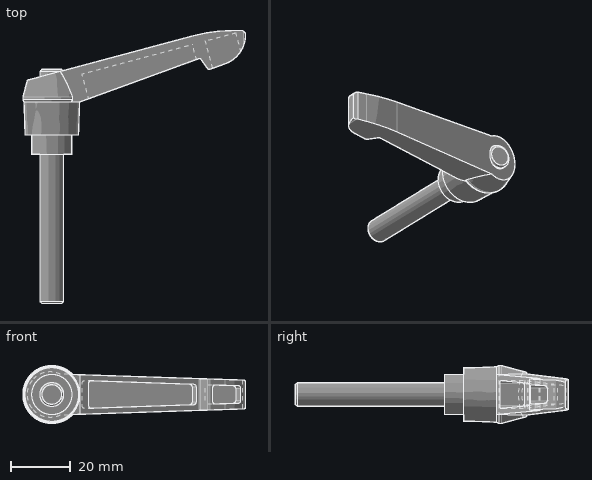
import cadquery as cq
import math


stud_diameter = 8.0
stud_length = 50.0
stud_chamfer = 0.7
collar_diameter = 13.5
collar_height = 6.5

pin_top = 28.55
pin_chamfer = 0.75

hub_bottom_radius = 9.0
skirt_top_radius = 9.35
skirt_top = 17.55
rim_radius = 19.49 / 2
rim_bottom = 18.35
rim_top = 19.2
cone_angle = math.radians(15)
cone_top = 32.0
cone_top_radius = rim_radius - (cone_top - rim_top) * math.tan(cone_angle)

top_slope = math.radians(15)
top_at_axis = 27.1
total_length = 74.75
total_height = 91.55
arm_end = total_length - rim_radius
nose_top = total_height - stud_length
top_bend_radius = 50.0

underside_slope = math.radians(20)
underside_start = 9.4
notch_x = 49.7
nose_tip_x = 52.5
nose_tip_y = 28.3
nose_radius = 10.5
notch_inner_radius = 0.5
notch_outer_radius = 0.8
end_corner_chamfer = 1.0

half_thickness_start = 6.68
half_thickness_end = 4.85
end_side_radius = 0.7

pocket_wall = 2.0
pocket_skin = 2.8
pocket_corner_radius = 1.0
pocket_cut_length = 20.0
pocket_stations = [(9.7, 48.0), (52.5, 63.1)]


def half_thickness(x):
    """Half of the arm thickness along Z at a given X."""
    taper = (half_thickness_start - half_thickness_end) / (arm_end - underside_start)
    return half_thickness_start - taper * (x - underside_start)


def top_height(x):
    """Y of the sloping lever top at a given X."""
    return top_at_axis + x * math.tan(top_slope)


def make_hub():
    """Turned hub, cut off by the sloping lever top."""
    hub = (
        cq.Workplane("XY")
        .moveTo(0, collar_height)
        .lineTo(hub_bottom_radius, collar_height)
        .lineTo(skirt_top_radius, skirt_top)
        .lineTo(rim_radius, rim_bottom)
        .lineTo(rim_radius, rim_top)
        .lineTo(cone_top_radius, cone_top)
        .lineTo(0, cone_top)
        .close()
        .revolve(360, (0, 0, 0), (0, 1, 0))
    )
    below_top = (
        cq.Workplane("XY")
        .polyline([
            (-rim_radius, 0),
            (rim_radius, 0),
            (rim_radius, top_height(rim_radius)),
            (-rim_radius, top_height(-rim_radius)),
        ])
        .close()
        .extrude(rim_radius, both=True)
    )
    return hub.intersect(below_top)


def make_arm_profile():
    """Side outline of the arm, extruded wider than the arm."""
    top_bend_x = (nose_top - top_at_axis) / math.tan(top_slope)
    bend_tangent = top_bend_radius * math.tan(top_slope / 2)
    bend_start_x = top_bend_x - bend_tangent * math.cos(top_slope)
    bend_end_x = top_bend_x + bend_tangent
    bend_middle = (
        bend_end_x - top_bend_radius * math.sin(top_slope / 2),
        nose_top - top_bend_radius * (1 - math.cos(top_slope / 2)),
    )

    nose_center_x = arm_end - nose_radius
    nose_center_y = (
        nose_tip_y
        + (nose_center_x - nose_tip_x) * math.tan(underside_slope)
        + nose_radius / math.cos(underside_slope)
    )

    vertical = math.pi / 2
    nose_arc_middle = (underside_slope + vertical) / 2

    def on_nose_arc(angle):
        """Point where the nose arc's tangent rises at the given angle."""
        return (
            nose_center_x + nose_radius * math.sin(angle),
            nose_center_y - nose_radius * math.cos(angle),
        )

    notch_y = skirt_top + (notch_x - underside_start) * math.tan(underside_slope)
    profile = (
        cq.Workplane("XY")
        .moveTo(0, skirt_top)
        .lineTo(underside_start, skirt_top)
        .lineTo(notch_x, notch_y)
        .lineTo(nose_tip_x, nose_tip_y)
        .lineTo(*on_nose_arc(underside_slope))
        .threePointArc(on_nose_arc(nose_arc_middle), on_nose_arc(vertical))
        .lineTo(arm_end, nose_top)
        .lineTo(bend_end_x, nose_top)
        .threePointArc(bend_middle, (bend_start_x, top_height(bend_start_x)))
        .lineTo(0, top_at_axis)
        .close()
        .extrude(rim_radius, both=True)
    )
    profile = profile.edges(cq.NearestToPointSelector((notch_x, notch_y, 0))).fillet(notch_inner_radius)
    profile = profile.edges(cq.NearestToPointSelector((nose_tip_x, nose_tip_y, 0))).fillet(notch_outer_radius)
    return profile.edges(cq.NearestToPointSelector((arm_end, nose_top, 0))).chamfer(end_corner_chamfer)


def make_arm():
    """Arm with its side outline and its tapering, round-cornered plan."""
    plan = (
        cq.Workplane("XZ")
        .polyline([
            (0, -half_thickness(0)),
            (arm_end, -half_thickness(arm_end)),
            (arm_end, half_thickness(arm_end)),
            (0, half_thickness(0)),
        ])
        .close()
        .extrude(-total_height)
        .edges("|Y and >X")
        .fillet(end_side_radius)
    )
    return make_arm_profile().intersect(plan)


def make_pocket(start, end):
    """Tapering pocket cut square to the lever top, leaving a skin under it."""
    sin_top = math.sin(top_slope)
    cos_top = math.cos(top_slope)
    floor = cq.Plane(
        origin=(pocket_skin * sin_top, top_at_axis - pocket_skin * cos_top, 0),
        xDir=(cos_top, sin_top, 0),
        normal=(sin_top, -cos_top, 0),
    )
    start_half = half_thickness(start) - pocket_wall
    end_half = half_thickness(end) - pocket_wall
    pocket = (
        cq.Workplane(floor)
        .polyline([(start, -start_half), (end, -end_half), (end, end_half), (start, start_half)])
        .close()
        .extrude(pocket_cut_length)
    )
    corner_edges = cq.selectors.ParallelDirSelector(floor.zDir)
    return pocket.edges(corner_edges).fillet(pocket_corner_radius)


def make_cylinder(diameter, bottom, top):
    """Cylinder on the clamping axis between two Y positions."""
    return cq.Workplane("XZ", origin=(0, bottom, 0)).circle(diameter / 2).extrude(bottom - top)


arm = make_arm()
for pocket_start, pocket_end in pocket_stations:
    arm = arm.cut(make_pocket(pocket_start, pocket_end))

collar = make_cylinder(collar_diameter, 0, collar_height)
stud = make_cylinder(stud_diameter, -stud_length, pin_top)
stud = stud.faces("<Y").chamfer(stud_chamfer).faces(">Y").chamfer(pin_chamfer)

result = make_hub().union(arm).union(collar).union(stud).clean()